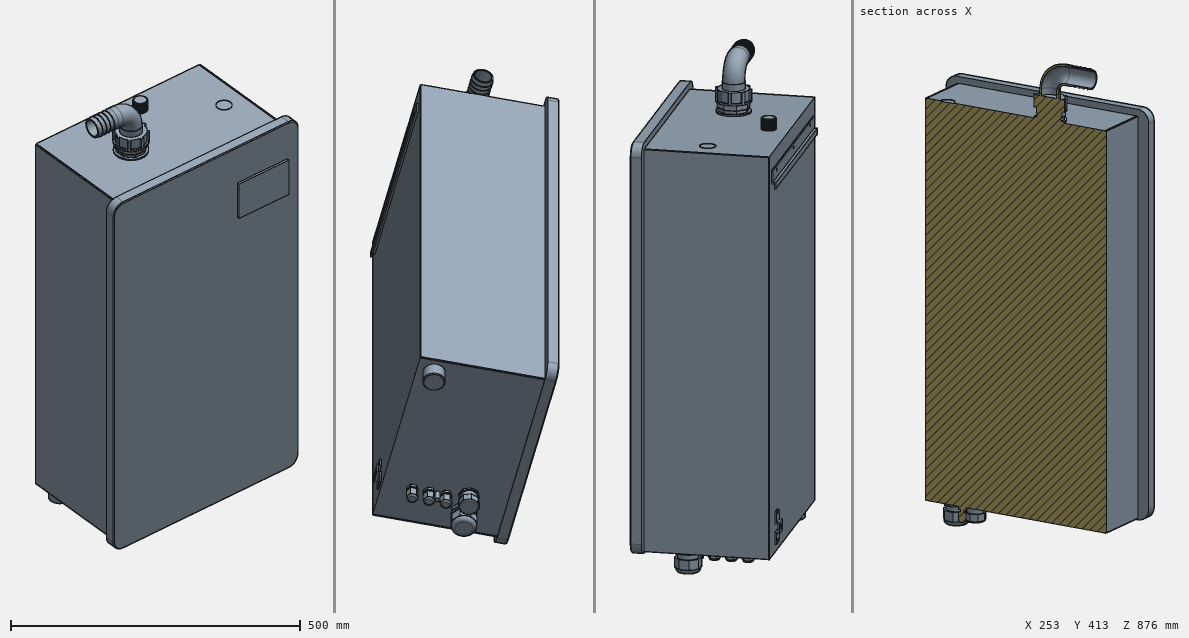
import cadquery as cq
import math


OVERLAP = 1.0

BODY_DEPTH = 221.0
BODY_WIDTH = 369.0
BODY_HEIGHT = 727.0
SIDE_PANEL_THICKNESS = 3.0
SIDE_PANEL_MARGIN = 1.0

DOOR_WIDTH = 413.0
DOOR_HEIGHT = 741.0
DOOR_BOTTOM = -2.0
DOOR_THICKNESS = 20.0
DOOR_CORNER_RADIUS = 22.0
DOOR_EDGE_CHAMFER = 2.0
DOOR_FRONT = BODY_DEPTH + DOOR_THICKNESS

DISPLAY_THICKNESS = 4.0
DISPLAY_WIDTH = 111.0
DISPLAY_HEIGHT = 74.0
DISPLAY_Y = 125.0
DISPLAY_Z = 626.0

FITTING_STANDOFF = 8.0
SHEET = 3.0

RAIL_LENGTH = 330.0
RAIL_TOP = 697.5
RAIL_STEP = 676.5
RAIL_BOTTOM = 665.0
RAIL_HOLE_DIAMETER = 4.0
RAIL_HOLE_SPACING = 134.0
RAIL_HOLE_COUNT = 3
RAIL_HOLE_Z = 690.5

BRACKET_WIDTH = 23.0
BRACKET_HEIGHT = 59.0
BRACKET_Y = 125.0
BRACKET_Z = 44.0
BRACKET_CORNER = 4.0
BRIDGE_HEIGHT = 20.0
BRIDGE_HOLE = 8.0
BRACKET_HOLE_DIAMETER = 4.0
BRACKET_HOLE_OFFSET = 24.5

RECESS_X = 118.0
RECESS_Y = 140.0
RECESS_RADIUS = 14.0
RECESS_DEPTH = 1.0
CAP_X = 37.0
CAP_Y = 20.0
CAP_RADIUS = 13.0
CAP_HEIGHT = 21.0
CAP_CHAMFER = 2.0
KNURL_COUNT = 36
KNURL_DIAMETER = 2.0

OUTLET_X = 118.0
OUTLET_Y = -67.5
PIPE_RADIUS = 19.0
BORE_RADIUS = 15.0
PIPE_AXIS_Z = 814.0
BEND_RADIUS = 32.0
BARB_COUNT = 5
BARB_PITCH = 9.0
BARB_ROOT_RADIUS = 17.5
BARBS_START_Y = -110.0
SLEEVE_RADIUS = 20.0
BEND_START_Z = PIPE_AXIS_Z - BEND_RADIUS
BEND_END_Y = OUTLET_Y - BEND_RADIUS
BARB_TIP_Y = BARBS_START_Y - BARB_COUNT * BARB_PITCH

FLANGE_RADIUS = 31.0
FLANGE_HEIGHT = 3.0
COLLAR_SIDES = 8
COLLAR_RADIUS = 29.0
COLLAR_FOOT_RADIUS = 27.0
COLLAR_STEP_Z = 736.0
UNION_NUT_BOTTOM = 747.0
UNION_NUT_TOP = 769.0
UNION_NUT_RADIUS = 28.0
UNION_RIB_RADIUS = 31.5
UNION_RIB_WIDTH = 5.0
UNION_RIB_COUNT = 8
UNION_LIP_HEIGHT = 3.5

STUB_X = 31.0
STUB_Y = -155.0
STUB_RADIUS = 19.0
STUB_LENGTH = 26.0
STUB_CHAMFER = 2.0

SMALL_GLAND_X = 53.5
SMALL_GLAND_Y = 109.5
SMALL_GLAND_PITCH = 30.0
SMALL_GLAND_COUNT = 3
PLUG_RADIUS = 4.0
PLUG_LENGTH = 18.0

GLAND_ROUNDING = 0.8

BIG_GLAND_X = 152.5
LARGE_GLAND_Y = 142.0
MEDIUM_GLAND_Y = 103.0


def block(x_start, x_end, width, height, y, z):
    """Box between two X positions, centred on y and z."""
    return cq.Workplane("YZ", origin=(x_start, y, z)).rect(width, height).extrude(x_end - x_start)


def disc(x, y, z, radius, height):
    """Upright cylinder; a negative height grows it downwards."""
    return cq.Workplane("XY", origin=(x, y, z)).circle(radius).extrude(height)


def prism(x, y, z, sides, radius, height, turn=0.0):
    """Upright prism with its corners on the given radius, turned by an angle in degrees."""
    plan = cq.Workplane("XY", origin=(x, y, z)).transformed(rotate=(0, 0, turn))
    return plan.polygon(sides, 2 * radius).extrude(height)


def cabinet_body():
    core_width = BODY_WIDTH - 2 * SIDE_PANEL_THICKNESS
    core = block(0, BODY_DEPTH, core_width, BODY_HEIGHT, 0, BODY_HEIGHT / 2)
    panel_height = BODY_HEIGHT - 2 * SIDE_PANEL_MARGIN
    panels = block(SIDE_PANEL_MARGIN, BODY_DEPTH, BODY_WIDTH, panel_height, 0, BODY_HEIGHT / 2)
    return core.union(panels)


def door():
    middle = DOOR_BOTTOM + DOOR_HEIGHT / 2
    panel = block(BODY_DEPTH, DOOR_FRONT, DOOR_WIDTH, DOOR_HEIGHT, 0, middle)
    panel = panel.edges("|X").fillet(DOOR_CORNER_RADIUS).faces(">X").chamfer(DOOR_EDGE_CHAMFER)
    display_front = DOOR_FRONT + DISPLAY_THICKNESS
    display = block(DOOR_FRONT - OVERLAP, display_front, DISPLAY_WIDTH, DISPLAY_HEIGHT, DISPLAY_Y, DISPLAY_Z)
    return panel.union(display)


def hanging_rail():
    """Z-section rail: a plate on the back, a web stepping out and a lip hanging down."""
    lip_inner = FITTING_STANDOFF - SHEET
    section = [
        (OVERLAP, RAIL_TOP),
        (-SHEET, RAIL_TOP),
        (-SHEET, RAIL_STEP),
        (-FITTING_STANDOFF, RAIL_STEP),
        (-FITTING_STANDOFF, RAIL_BOTTOM),
        (-lip_inner, RAIL_BOTTOM),
        (-lip_inner, RAIL_STEP - SHEET),
        (OVERLAP, RAIL_STEP - SHEET),
    ]
    rail = cq.Workplane("XZ").polyline(section).close().extrude(RAIL_LENGTH / 2, both=True)
    holes = (
        cq.Workplane("YZ", origin=(-SHEET, 0, RAIL_HOLE_Z))
        .rarray(RAIL_HOLE_SPACING, 9, RAIL_HOLE_COUNT, 1)
        .circle(RAIL_HOLE_DIAMETER / 2)
        .extrude(SHEET)
    )
    return rail.cut(holes)


def lower_bracket():
    """Plate with a raised bridge across its middle, open on both sides."""
    plate = block(-SHEET, OVERLAP, BRACKET_WIDTH, BRACKET_HEIGHT, BRACKET_Y, BRACKET_Z)
    plate = plate.edges("|X and <Y").chamfer(BRACKET_CORNER)
    bridge = block(-FITTING_STANDOFF, 0, BRACKET_WIDTH, BRIDGE_HEIGHT, BRACKET_Y, BRACKET_Z)
    opening_height = BRIDGE_HEIGHT - 2 * SHEET
    opening = block(SHEET - FITTING_STANDOFF, 0, BRACKET_WIDTH, opening_height, BRACKET_Y, BRACKET_Z)
    window = block(-FITTING_STANDOFF, 0, BRIDGE_HOLE, BRIDGE_HOLE, BRACKET_Y, BRACKET_Z)
    holes = (
        cq.Workplane("YZ", origin=(-SHEET, BRACKET_Y, BRACKET_Z))
        .rarray(9, 2 * BRACKET_HOLE_OFFSET, 1, 2)
        .circle(BRACKET_HOLE_DIAMETER / 2)
        .extrude(SHEET)
    )
    return plate.union(bridge).cut(opening).cut(window).cut(holes)


def knurled_cap():
    cap = disc(CAP_X, CAP_Y, BODY_HEIGHT, CAP_RADIUS, CAP_HEIGHT).faces(">Z").chamfer(CAP_CHAMFER)
    grooves = (
        cq.Workplane("XY", origin=(CAP_X, CAP_Y, BODY_HEIGHT))
        .polarArray(CAP_RADIUS, 0, 360, KNURL_COUNT)
        .circle(KNURL_DIAMETER / 2)
        .extrude(CAP_HEIGHT)
    )
    return cap.cut(grooves)


def elbow(radius, end_y):
    """Solid rod that rises from the union, bends towards -Y and runs level to end_y."""
    bend_middle = BEND_RADIUS * (1 - math.sqrt(0.5))
    path = (
        cq.Workplane("YZ", origin=(OUTLET_X, 0, 0))
        .moveTo(OUTLET_Y, UNION_NUT_BOTTOM)
        .lineTo(OUTLET_Y, BEND_START_Z)
        .threePointArc(
            (OUTLET_Y - bend_middle, PIPE_AXIS_Z - bend_middle),
            (BEND_END_Y, PIPE_AXIS_Z),
        )
        .lineTo(end_y, PIPE_AXIS_Z)
    )
    start = cq.Workplane("XY", origin=(OUTLET_X, OUTLET_Y, UNION_NUT_BOTTOM))
    return start.circle(radius).sweep(path)


def hose_barbs():
    """Saw-tooth rings, each narrowing towards the open end."""
    outline = [(0, BARBS_START_Y)]
    for index in range(BARB_COUNT):
        wide_y = BARBS_START_Y - index * BARB_PITCH
        outline.append((PIPE_RADIUS, wide_y))
        outline.append((BARB_ROOT_RADIUS, wide_y - BARB_PITCH))
    outline.append((0, BARB_TIP_Y))
    profile = cq.Workplane("XY", origin=(OUTLET_X, 0, PIPE_AXIS_Z)).polyline(outline).close()
    return profile.revolve(360, (0, 0, 0), (0, 1, 0))


def outlet_pipe():
    sleeve_height = BEND_START_Z - UNION_NUT_BOTTOM
    sleeve = disc(OUTLET_X, OUTLET_Y, UNION_NUT_BOTTOM, SLEEVE_RADIUS, sleeve_height)
    pipe = elbow(PIPE_RADIUS, BARBS_START_Y).union(hose_barbs()).union(sleeve)
    return pipe.cut(elbow(BORE_RADIUS, BARB_TIP_Y))


def pipe_union():
    """Roof flange, octagonal collar and ribbed nut."""
    flange = disc(OUTLET_X, OUTLET_Y, BODY_HEIGHT - OVERLAP, FLANGE_RADIUS, FLANGE_HEIGHT + OVERLAP)
    collar_turn = 180 / COLLAR_SIDES
    foot_height = COLLAR_STEP_Z - BODY_HEIGHT
    upper_height = UNION_NUT_BOTTOM - COLLAR_STEP_Z
    foot = prism(OUTLET_X, OUTLET_Y, BODY_HEIGHT, COLLAR_SIDES, COLLAR_FOOT_RADIUS, foot_height, collar_turn)
    upper = prism(OUTLET_X, OUTLET_Y, COLLAR_STEP_Z, COLLAR_SIDES, COLLAR_RADIUS, upper_height, collar_turn)
    nut_height = UNION_NUT_TOP - UNION_NUT_BOTTOM
    nut = disc(OUTLET_X, OUTLET_Y, UNION_NUT_BOTTOM, UNION_NUT_RADIUS, nut_height)
    lip = disc(OUTLET_X, OUTLET_Y, UNION_NUT_BOTTOM, UNION_RIB_RADIUS, UNION_LIP_HEIGHT)
    ribs = (
        cq.Workplane("XY", origin=(OUTLET_X, OUTLET_Y, UNION_NUT_BOTTOM))
        .polarArray(UNION_NUT_RADIUS, 0, 360, UNION_RIB_COUNT)
        .rect(2 * (UNION_RIB_RADIUS - UNION_NUT_RADIUS), UNION_RIB_WIDTH)
        .extrude(nut_height)
    )
    return flange.union(foot).union(upper).union(nut).union(lip).union(ribs)


def cable_gland(x, y, sides, turn, nut_radius, neck_radius, flange_end, nut_start, nut_end, tip):
    """Gland hanging from the floor: flange, neck, faceted nut and domed tip, by depth below the floor."""
    flange = prism(x, y, OVERLAP, sides, nut_radius, -flange_end - OVERLAP, turn)
    neck = disc(x, y, 0, neck_radius, -nut_end)
    nut = prism(x, y, -nut_start, sides, nut_radius, nut_start - nut_end, turn)
    dome_height = tip - nut_end
    dome_radius = nut_radius * math.cos(math.pi / sides)
    dome = disc(x, y, -nut_end, dome_radius, -dome_height)
    dome = dome.faces("<Z").edges().fillet(GLAND_ROUNDING * dome_height)
    return flange.union(neck).union(nut).union(dome)


def floor_fittings():
    stub = disc(STUB_X, STUB_Y, OVERLAP, STUB_RADIUS, -STUB_LENGTH - OVERLAP)
    fittings = stub.faces("<Z").chamfer(STUB_CHAMFER)
    for index in range(SMALL_GLAND_COUNT):
        x = SMALL_GLAND_X + index * SMALL_GLAND_PITCH
        small = cable_gland(
            x, SMALL_GLAND_Y, sides=6, turn=0, nut_radius=10.5, neck_radius=7.0,
            flange_end=5.0, nut_start=9.0, nut_end=24.5, tip=28.0,
        )
        fittings = fittings.union(small)
    last_gland_x = SMALL_GLAND_X + (SMALL_GLAND_COUNT - 1) * SMALL_GLAND_PITCH
    plug_x = last_gland_x - SMALL_GLAND_PITCH / 2
    fittings = fittings.union(disc(plug_x, SMALL_GLAND_Y, OVERLAP, PLUG_RADIUS, -PLUG_LENGTH - OVERLAP))
    medium = cable_gland(
        BIG_GLAND_X, MEDIUM_GLAND_Y, sides=8, turn=0, nut_radius=18.0, neck_radius=15.0,
        flange_end=3.5, nut_start=16.0, nut_end=29.0, tip=31.5,
    )
    large = cable_gland(
        BIG_GLAND_X, LARGE_GLAND_Y, sides=8, turn=16, nut_radius=24.0, neck_radius=18.0,
        flange_end=7.0, nut_start=17.0, nut_end=34.0, tip=43.0,
    )
    return fittings.union(medium).union(large)


roof_recess = disc(RECESS_X, RECESS_Y, BODY_HEIGHT, RECESS_RADIUS, -RECESS_DEPTH)

result = (
    cabinet_body()
    .union(door())
    .union(hanging_rail())
    .union(lower_bracket())
    .cut(roof_recess)
    .union(knurled_cap())
    .union(pipe_union())
    .union(outlet_pipe())
    .union(floor_fittings())
)